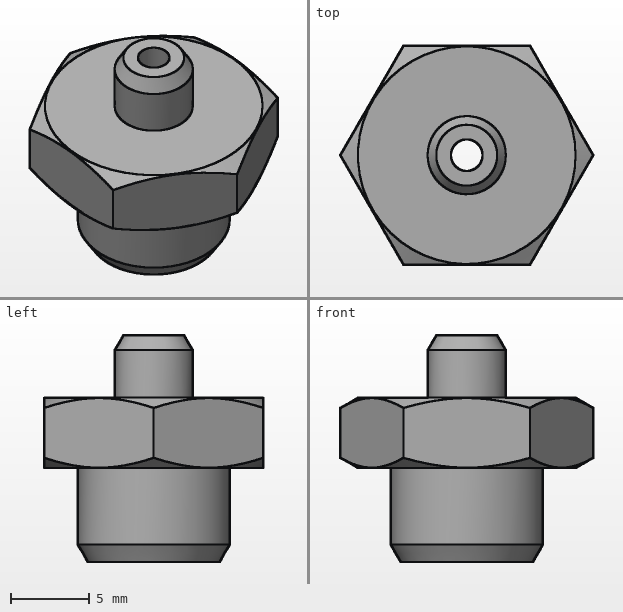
import cadquery as cq
import math

across_corners = 16.17
hex_height = 4.5
hex_face_diameter = 13.9
hex_chamfer_angle = 30.0

nozzle_diameter = 5.0
nozzle_height = 4.0
nozzle_chamfer_height = 0.95

shank_diameter = 9.73
shank_height = 6.02
shank_chamfer_height = 1.12

end_chamfer_angle = 30.0
bore_diameter = 2.0

hex_bottom = shank_height
hex_top = hex_bottom + hex_height
total_height = hex_top + nozzle_height


def revolve_profile(points):
    """Revolve a closed (radius, z) outline about the Z axis."""
    return cq.Workplane("XZ").polyline(points).close().revolve(360, (0, 0), (0, 1))


def make_collar():
    """Hexagonal prism with its corners turned off conically at both ends."""
    prism = (
        cq.Workplane("XY")
        .workplane(offset=hex_bottom)
        .polygon(6, across_corners)
        .extrude(hex_height)
    )
    face_radius = hex_face_diameter / 2
    corner_radius = across_corners / 2
    corner_drop = (corner_radius - face_radius) * math.tan(math.radians(hex_chamfer_angle))
    turned_blank = revolve_profile([
        (0, hex_bottom),
        (face_radius, hex_bottom),
        (corner_radius, hex_bottom + corner_drop),
        (corner_radius, hex_top - corner_drop),
        (face_radius, hex_top),
        (0, hex_top),
    ])
    return prism.intersect(turned_blank)


def make_stem(diameter, root_z, tip_z, chamfer_height):
    """Cylinder from root_z to tip_z with a conical chamfer at the tip."""
    radius = diameter / 2
    tip_radius = radius - chamfer_height * math.tan(math.radians(end_chamfer_angle))
    direction = math.copysign(1, tip_z - root_z)
    return revolve_profile([
        (0, root_z),
        (radius, root_z),
        (radius, tip_z - direction * chamfer_height),
        (tip_radius, tip_z),
        (0, tip_z),
    ])


collar = make_collar()
nozzle = make_stem(nozzle_diameter, hex_top, total_height, nozzle_chamfer_height)
shank = make_stem(shank_diameter, hex_bottom, 0, shank_chamfer_height)
bore = cq.Workplane("XY").circle(bore_diameter / 2).extrude(total_height)

result = collar.union(nozzle).union(shank).cut(bore)